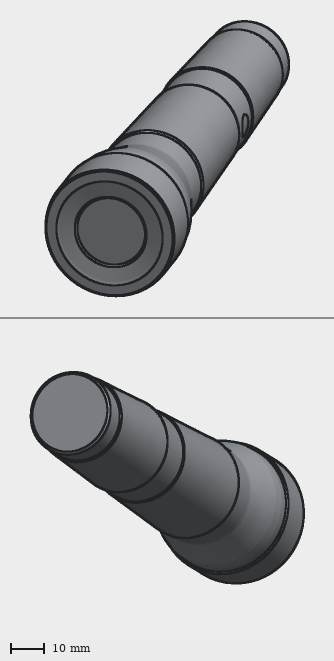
import cadquery as cq
import math

length = 157.0

tail_radius = 25.0 / 2
tail_end = 9.5
tail_edge = 0.8

grip_start_radius = 25.9 / 2
band_start = 47.7
band_end = 63.5
band_radius = 28.0 / 2
band_step = 0.3
step_slope_length = 0.5
grip_end = 109.0
grip_end_radius = 31.4 / 2

neck_radius = 30.5 / 2
neck_start = 109.9
flare_start = 121.0
flare_end = 136.0
collar_radius = 38.6 / 2
flare_start_blend = 6.6
flare_end_blend = 15.2
bezel_start = 142.0
bezel_radius = 39.9 / 2
bezel_taper_length = 1.4
bezel_corner_length = 0.5
bezel_corner_radius = 39.5 / 2
front_face_radius = 38.6 / 2

rim_radius = 32.5 / 2
dish_radius = 30.8 / 2
dish_start_depth = 0.3
lens_rim_radius = 22.0 / 2
dish_depth = 1.3
lens_radius = 20.7 / 2
lens_depth = 1.9

button_radius = 6.8 / 2
button_station = (band_start + band_end) / 2
button_floor_x = band_radius - 3.1


def y_at(station):
    """Y coordinate of a station measured from the tail."""
    return length / 2 - station


def revolve_profile(points):
    """Solid of revolution about Y from (radius, station) points."""
    outline = [(radius, y_at(station)) for radius, station in points]
    return cq.Workplane("XY").polyline(outline).close().revolve(360, (0, 0, 0), (0, 1, 0))


def blend_points(corner_station, corner_radius, blend_radius, cylinder_side):
    """Start, middle and end of the arc blending the flare into a cylinder.

    cylinder_side is -1 where the cylinder lies toward the tail, +1 toward the lens.
    """
    flare_angle = math.atan2(collar_radius - neck_radius, flare_end - flare_start)
    tangent = blend_radius * math.tan(flare_angle / 2)
    half_angle = flare_angle / 2
    cylinder_station = corner_station + cylinder_side * tangent
    bend = -cylinder_side

    def arc_point(angle):
        along = bend * blend_radius * math.sin(angle)
        across = bend * blend_radius * (1 - math.cos(angle))
        return (corner_radius + across, y_at(cylinder_station + along))

    return arc_point(0), arc_point(half_angle), arc_point(flare_angle)


def make_outer_body():
    """Turned outer form, without the openings."""
    neck_blend = blend_points(flare_start, neck_radius, flare_start_blend, -1)
    collar_blend = blend_points(flare_end, collar_radius, flare_end_blend, 1)
    outline = cq.Workplane("XY").moveTo(0, y_at(0))
    tail_to_neck = [
        (tail_radius - tail_edge, 0),
        (tail_radius, tail_edge),
        (tail_radius, tail_end - step_slope_length),
        (grip_start_radius, tail_end),
        (band_radius + band_step, band_start),
        (band_radius, band_start + step_slope_length),
        (band_radius, band_end - step_slope_length),
        (band_radius + band_step, band_end),
        (grip_end_radius, grip_end),
        (neck_radius, neck_start),
    ]
    for radius, station in tail_to_neck:
        outline = outline.lineTo(radius, y_at(station))
    outline = outline.lineTo(*neck_blend[0]).threePointArc(neck_blend[1], neck_blend[2])
    outline = outline.lineTo(*collar_blend[2]).threePointArc(collar_blend[1], collar_blend[0])
    collar_to_front = [
        (collar_radius, bezel_start - step_slope_length),
        (bezel_radius, bezel_start),
        (bezel_radius, length - bezel_taper_length),
        (bezel_corner_radius, length - bezel_corner_length),
        (front_face_radius, length),
        (0, length),
    ]
    for radius, station in collar_to_front:
        outline = outline.lineTo(radius, y_at(station))
    return outline.close().revolve(360, (0, 0, 0), (0, 1, 0))


def make_front_opening():
    """Chamfered dish, lens rim and flat lens floor, as one cutting tool."""
    return revolve_profile([
        (0, length),
        (rim_radius, length),
        (dish_radius, length - dish_start_depth),
        (lens_rim_radius, length - dish_depth),
        (lens_radius, length - lens_depth),
        (0, length - lens_depth),
    ])


def make_button_plug():
    """Round plug along X that reaches from the button floor past the band surface."""
    return (
        cq.Workplane("YZ", origin=(button_floor_x, y_at(button_station), 0))
        .circle(button_radius)
        .extrude(bezel_radius - button_floor_x)
    )


def make_housing():
    """Flashlight body with its front opening and the button hole."""
    return make_outer_body().cut(make_front_opening()).cut(make_button_plug())


def make_button():
    """Button that fills its hole, with its top following the round band."""
    band_cylinder = revolve_profile([
        (0, band_start),
        (band_radius, band_start),
        (band_radius, band_end),
        (0, band_end),
    ])
    return make_button_plug().intersect(band_cylinder)


housing = make_housing()
button = make_button()

result = cq.Compound.makeCompound([housing.val(), button.val()])